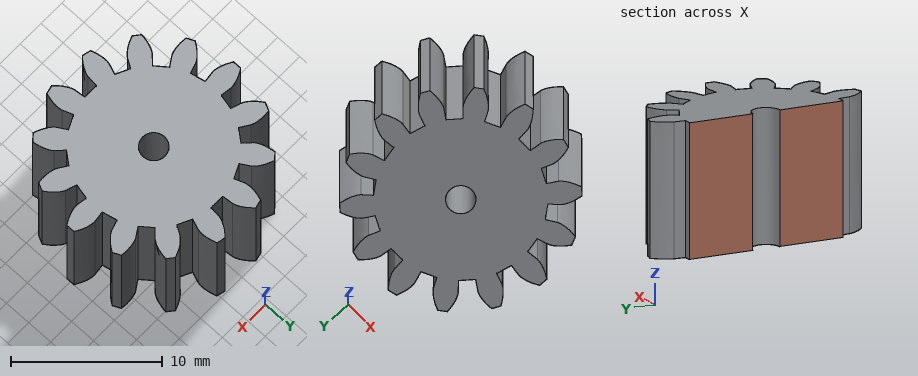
import cadquery as cq
import math

tooth_count = 14
pressure_angle = math.radians(20)
width_across_tips = 15.99
gear_height = 9.39
bore_diameter = 2.0
flank_spans = 5

addendum = 1
dedendum = 1.25


def involute_angle(pressure):
    """Polar angle swept by an involute at the given pressure angle."""
    return math.tan(pressure) - pressure


pitch_step = 2 * math.pi / tooth_count
base_half_angle = pitch_step / 4 + involute_angle(pressure_angle)
base_to_tip = tooth_count * math.cos(pressure_angle) / (tooth_count + 2 * addendum)
tip_pressure_angle = math.acos(base_to_tip)
tip_half_angle = base_half_angle - involute_angle(tip_pressure_angle)

tip_radius = width_across_tips / 2 / math.cos(tip_half_angle)
module = tip_radius / (tooth_count / 2 + addendum)
pitch_radius = module * tooth_count / 2
base_radius = pitch_radius * math.cos(pressure_angle)
root_radius = pitch_radius - dedendum * module


def polar(radius, angle):
    return (radius * math.cos(angle), radius * math.sin(angle))


def involute_flank(tooth_angle, side):
    """Points from the base circle to the tip, on side -1 or +1 of the tooth axis."""
    points = []
    for i in range(flank_spans + 1):
        pressure = math.atan(math.tan(tip_pressure_angle) * i / flank_spans)
        half_angle = base_half_angle - involute_angle(pressure)
        points.append(polar(base_radius / math.cos(pressure), tooth_angle + side * half_angle))
    return points


def add_tooth(outline, tooth_angle):
    """Add the flat root before a tooth, then its radial walls, involute flanks and flat tip."""
    rising_flank = involute_flank(tooth_angle, -1)
    falling_flank = involute_flank(tooth_angle, 1)[::-1]
    return (
        outline.lineTo(*polar(root_radius, tooth_angle - base_half_angle))
        .lineTo(*rising_flank[0])
        .spline(rising_flank[1:], includeCurrent=True)
        .lineTo(*falling_flank[0])
        .spline(falling_flank[1:], includeCurrent=True)
        .lineTo(*polar(root_radius, tooth_angle + base_half_angle))
    )


gear_outline = cq.Workplane("XY").moveTo(*polar(root_radius, base_half_angle - pitch_step))
for tooth in range(tooth_count):
    gear_outline = add_tooth(gear_outline, tooth * pitch_step)
gear_blank = gear_outline.close().extrude(gear_height)

bore = cq.Workplane("XY").circle(bore_diameter / 2).extrude(gear_height)
result = gear_blank.cut(bore)